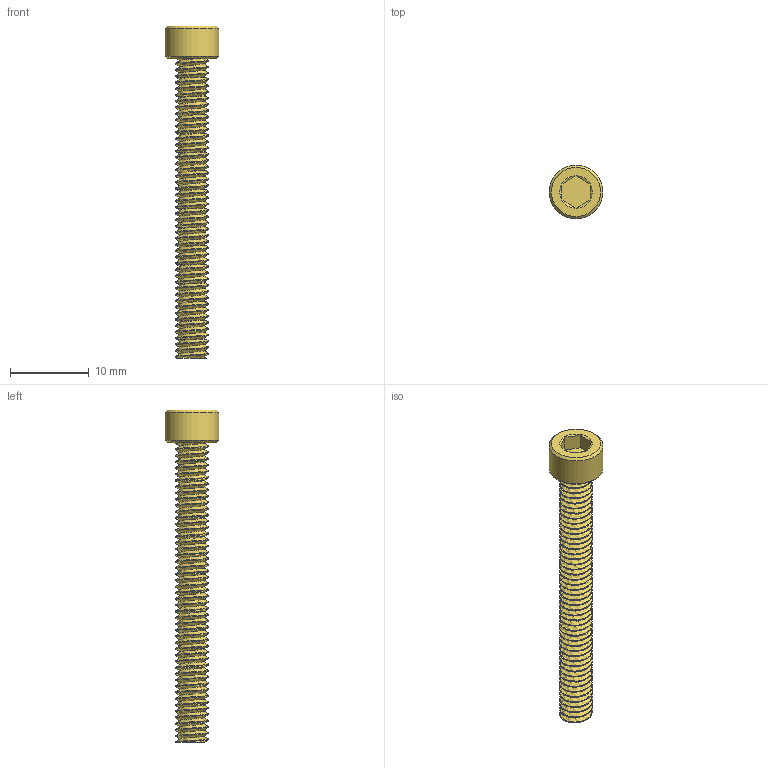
import cadquery as cq
import math

INCH = 25.4
nominal_diameter = 0.164 * INCH

head_diameter = 0.270 * INCH
head_height = nominal_diameter
head_chamfer = 0.3

socket_across_flats = 9 / 64 * INCH
socket_across_corners = socket_across_flats / math.cos(math.radians(30))
socket_depth = head_height / 2
socket_corner_turn = 30
socket_mouth_slope = math.radians(30)

shank_length = 1.5 * INCH
pitch = INCH / 32
sharp_vee_height = pitch * math.sqrt(3) / 2
thread_depth = 3 / 4 * sharp_vee_height
crest_flat = pitch / 8
major_radius = nominal_diameter / 2
first_crest_drop = 0.25

turns_per_piece = 3
piece_length = turns_per_piece * pitch
piece_count = round(shank_length / piece_length)
flank_spline_steps = 8


def make_head():
    """Plain cylinder with both rims chamfered."""
    return (
        cq.Workplane("XY")
        .circle(head_diameter / 2)
        .extrude(head_height)
        .faces("<Z or >Z")
        .edges()
        .chamfer(head_chamfer)
    )


def make_socket():
    """Hexagonal prism plus the cone that breaks the socket's upper edges."""
    hexagon = (
        cq.Workplane("XY", origin=(0, 0, head_height))
        .polygon(6, socket_across_corners)
        .extrude(-socket_depth)
        .rotate((0, 0, 0), (0, 0, 1), socket_corner_turn)
    )
    mouth_radius = socket_across_corners / 2
    cone_depth = mouth_radius * math.tan(socket_mouth_slope)
    mouth = (
        cq.Workplane("XZ")
        .moveTo(0, head_height)
        .lineTo(mouth_radius, head_height)
        .lineTo(0, head_height - cone_depth)
        .close()
        .revolve(360, (0, 0, 0), (0, 1, 0))
    )
    return hexagon.union(mouth)


def thread_section():
    """Section of the thread square to its axis, with the crest centred on +X.

    The crest is an arc. Each straight flank is cut as an Archimedean spiral,
    and the two spirals meet at the root on -X.
    """
    crest_half_angle = math.pi * crest_flat / pitch
    flank_angle = math.pi - crest_half_angle
    upper_flank = []
    for step in range(flank_spline_steps + 1):
        fraction = step / flank_spline_steps
        radius = major_radius - fraction * thread_depth
        angle = crest_half_angle + fraction * flank_angle
        upper_flank.append((radius * math.cos(angle), radius * math.sin(angle)))
    lower_flank = [(x, -y) for x, y in reversed(upper_flank)]
    return (
        cq.Workplane("XY")
        .moveTo(*lower_flank[-1])
        .threePointArc((major_radius, 0), upper_flank[0])
        .spline(upper_flank[1:], includeCurrent=True)
        .spline(lower_flank[1:], includeCurrent=True)
        .close()
    )


def make_shank():
    """Threaded shank: the thread section twisted one full turn per pitch."""
    crest_angle = 360 * first_crest_drop / pitch
    piece = (
        thread_section()
        .twistExtrude(piece_length, 360 * turns_per_piece)
        .rotate((0, 0, 0), (0, 0, 1), crest_angle)
    )
    shank = piece.translate((0, 0, -piece_length))
    for index in range(2, piece_count + 1):
        shank = shank.union(piece.translate((0, 0, -index * piece_length)))
    return shank


result = make_head().cut(make_socket()).union(make_shank())